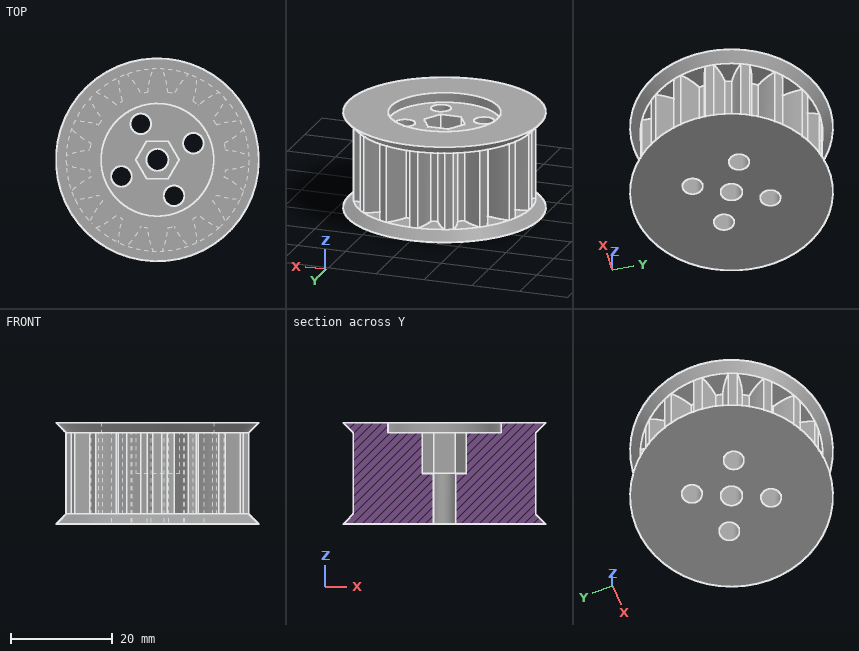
import cadquery as cq
import math

outer_radius = 20.0
height = 20.0
flange_height = 2.0
rim_radius = 18.0

tooth_count = 16
root_radius = 13.5
tip_half_width = 0.9
root_half_width = 1.95
flank_mid_radius = 16.2
flank_mid_half_width = 1.5

recess_diameter = 22.2
recess_depth = 2.0
hex_across_flats = 7.4
hex_depth = 8.0
bore_diameter = 4.3
mounting_hole_diameter = 4.0
mounting_hole_count = 4
mounting_circle_radius = 7.8
mounting_start_angle = 24.8


def polar_point(radius, half_width, side, tooth_angle):
    """Point on a circle, offset sideways from a tooth's centreline."""
    angle = tooth_angle + side * math.asin(half_width / radius)
    return (radius * math.cos(angle), radius * math.sin(angle))


def toothed_rim():
    """Rim with convex flanked teeth, rounded tips and flat roots."""
    pitch = 2 * math.pi / tooth_count
    outline = cq.Workplane("XY").workplane(offset=flange_height)
    outline = outline.moveTo(*polar_point(root_radius, root_half_width, -1, 0))
    for index in range(tooth_count):
        angle = index * pitch
        if index > 0:
            outline = outline.lineTo(*polar_point(root_radius, root_half_width, -1, angle))
        outline = outline.threePointArc(
            polar_point(flank_mid_radius, flank_mid_half_width, -1, angle),
            polar_point(rim_radius, tip_half_width, -1, angle),
        )
        outline = outline.threePointArc(
            polar_point(rim_radius, 0, 1, angle),
            polar_point(rim_radius, tip_half_width, 1, angle),
        )
        outline = outline.threePointArc(
            polar_point(flank_mid_radius, flank_mid_half_width, 1, angle),
            polar_point(root_radius, root_half_width, 1, angle),
        )
    return outline.close().extrude(height - 2 * flange_height)


def flange(outer_z, inner_z):
    """Conical flange, widest at the end face and narrowing to the rim."""
    profile = [(0, outer_z), (outer_radius, outer_z), (rim_radius, inner_z), (0, inner_z)]
    return cq.Workplane("XZ").polyline(profile).close().revolve(360, (0, 0), (0, 1))


body = toothed_rim()
body = body.union(flange(0, flange_height))
body = body.union(flange(height, height - flange_height))

top_face = cq.Workplane("XY").workplane(offset=height)
body = body.cut(top_face.circle(recess_diameter / 2).extrude(-recess_depth))

recess_floor = cq.Workplane("XY").workplane(offset=height - recess_depth)
hex_across_corners = hex_across_flats / math.cos(math.pi / 6)
body = body.cut(recess_floor.polygon(6, hex_across_corners).extrude(-hex_depth))

body = body.cut(cq.Workplane("XY").circle(bore_diameter / 2).extrude(height))
mounting_holes = (
    cq.Workplane("XY")
    .polarArray(mounting_circle_radius, mounting_start_angle, 360, mounting_hole_count)
    .circle(mounting_hole_diameter / 2)
    .extrude(height)
)
result = body.cut(mounting_holes)